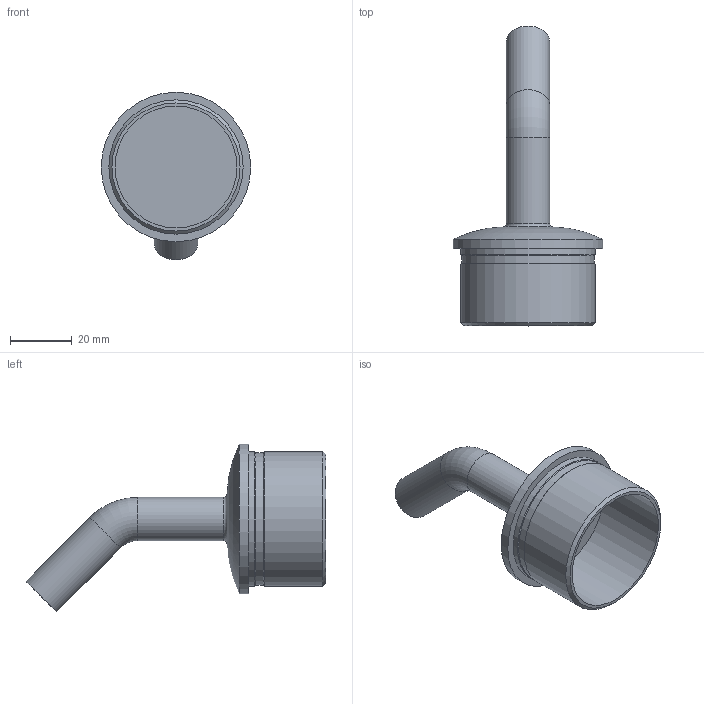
import cadquery as cq
import math


plug_radius = 43.4 / 2
plug_length = 25.0
wall_thickness = 2.0
mouth_chamfer = 1.0
bore_depth = plug_length
groove_start = 20.0
groove_width = 3.0
groove_depth = 0.25

flange_radius = 48.3 / 2
flange_thickness = 3.0
dome_height = 4.0

stem_radius = 7.0
stem_fillet = 1.0
bend_start = 60.77
bend_radius = 15.0
bend_angle = math.radians(45)
tail_length = 29.17

flange_top = plug_length + flange_thickness
dome_top = flange_top + dome_height
dome_width = flange_radius - stem_radius
dome_arc_radius = (dome_width**2 + dome_height**2) / (2 * dome_height)
dome_center_y = dome_top - dome_arc_radius
fillet_center_radius = stem_radius + stem_fillet
fillet_top = dome_center_y + math.sqrt((dome_arc_radius + stem_fillet) ** 2 - stem_fillet**2)
fillet_foot_angle = math.asin(stem_fillet / (dome_arc_radius + stem_fillet))


def revolve_about_y(profile):
    """Turn a closed XY profile a full circle about the Y axis."""
    return profile.close().revolve(360, (0, 0, 0), (0, 1, 0))


def dome_point(angle):
    """(X, Y) on the dome arc at an angle outwards from the axis direction."""
    radius = stem_radius + dome_arc_radius * math.sin(angle)
    y = dome_center_y + dome_arc_radius * math.cos(angle)
    return (radius, y)


def fillet_middle():
    """(X, Y) halfway along the stem fillet arc."""
    half_turn = (math.pi / 2 - fillet_foot_angle) / 2
    radius = fillet_center_radius - stem_fillet * math.cos(half_turn)
    y = fillet_top - stem_fillet * math.sin(half_turn)
    return (radius, y)


def make_turned_body():
    """Plug, flange, dome and stem fillet as one solid of revolution."""
    dome_rim_angle = math.asin(dome_width / dome_arc_radius)
    dome_middle_angle = (dome_rim_angle + fillet_foot_angle) / 2
    profile = (
        cq.Workplane("XY")
        .lineTo(plug_radius - mouth_chamfer, 0)
        .lineTo(plug_radius, mouth_chamfer)
        .lineTo(plug_radius, plug_length)
        .lineTo(flange_radius, plug_length)
        .lineTo(flange_radius, flange_top)
        .threePointArc(dome_point(dome_middle_angle), dome_point(fillet_foot_angle))
        .threePointArc(fillet_middle(), (stem_radius, fillet_top))
        .lineTo(0, fillet_top)
    )
    return revolve_about_y(profile)


def make_groove():
    """Shallow ring with 45 degree walls around the plug, near the flange."""
    groove_end = groove_start + groove_width
    floor_radius = plug_radius - groove_depth
    profile = (
        cq.Workplane("XY")
        .moveTo(plug_radius, groove_start)
        .lineTo(floor_radius, groove_start + groove_depth)
        .lineTo(floor_radius, groove_end - groove_depth)
        .lineTo(plug_radius, groove_end)
    )
    return revolve_about_y(profile)


def make_bore():
    """Blind flat-bottomed bore from the mouth of the plug."""
    bore_radius = plug_radius - wall_thickness
    return cq.Workplane("XZ").circle(bore_radius).extrude(-bore_depth)


def bend_point(turn):
    """(Y, Z) of the stem centreline after turning down by an angle."""
    y = bend_start + bend_radius * math.sin(turn)
    z = -bend_radius * (1 - math.cos(turn))
    return (y, z)


def make_stem():
    """Round bar: straight run, downward bend and straight tail."""
    bend_end_y, bend_end_z = bend_point(bend_angle)
    tail_end_y = bend_end_y + tail_length * math.cos(bend_angle)
    tail_end_z = bend_end_z - tail_length * math.sin(bend_angle)
    centreline = (
        cq.Workplane("YZ")
        .moveTo(fillet_top, 0)
        .lineTo(bend_start, 0)
        .threePointArc(bend_point(bend_angle / 2), (bend_end_y, bend_end_z))
        .lineTo(tail_end_y, tail_end_z)
    )
    section = cq.Workplane("XZ", origin=(0, fillet_top, 0)).circle(stem_radius)
    return section.sweep(centreline)


body = make_turned_body().cut(make_groove()).cut(make_bore())
result = body.union(make_stem())